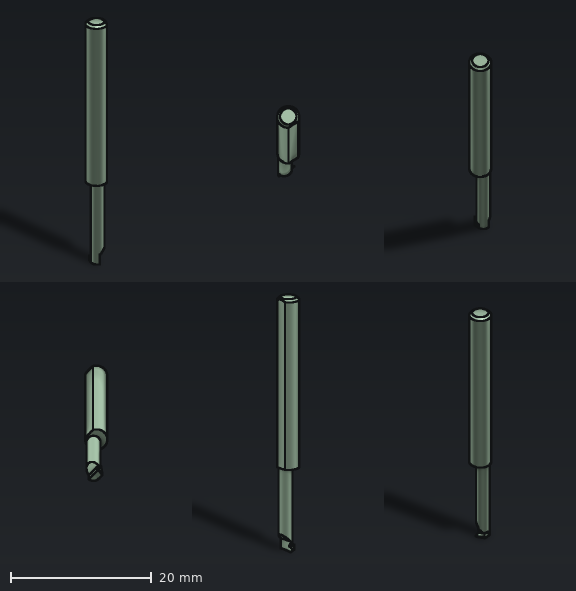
import cadquery as cq

total_length = 38.1
shank_diameter = 3.15
flat_offset = 1.353
shoulder_z = 12.7
chamfer_radial = 0.42
chamfer_height = 0.4

neck_diameter = 2.02
neck_end_z = 0.1
relief_root_z = 1.65

head_left_x = -0.2
head_right_x = 0.6
head_top_z = 0.88
tip_x = -1.03
tip_z = 0.45
tooth_root_x = -0.45
tooth_root_top_z = 0.8
notch_top_z = 1.35
rear_tip_projection = 0.05

shank_radius = shank_diameter / 2
neck_radius = neck_diameter / 2
neck_x = shank_radius - neck_radius
neck_left_x = neck_x - neck_radius


def make_shank():
    """Round shank with a chamfered top and one full-length flat."""
    profile = [
        (0, shoulder_z),
        (shank_radius, shoulder_z),
        (shank_radius, total_length - chamfer_height),
        (shank_radius - chamfer_radial, total_length),
        (0, total_length),
    ]
    shank = cq.Workplane("XZ").polyline(profile).close().revolve(360, (0, 0), (0, 1))
    flat_cutter = cq.Workplane("XY").box(
        shank_diameter, shank_diameter, total_length, centered=(True, False, False)
    )
    return shank.cut(flat_cutter.translate((0, flat_offset, 0)))


def make_neck():
    """Offset neck, halved at its lower end and notched above the tooth."""
    neck = (
        cq.Workplane("XY", origin=(neck_x, 0, neck_end_z))
        .circle(neck_radius)
        .extrude(shoulder_z - neck_end_z)
    )
    relief = (
        cq.Workplane("YZ", origin=(neck_x, 0, 0))
        .polyline([
            (0, 0),
            (0, relief_root_z),
            (neck_diameter, relief_root_z + neck_diameter),
            (neck_diameter, 0),
        ])
        .close()
        .extrude(neck_radius, both=True)
    )
    notch = (
        cq.Workplane("XZ")
        .polyline([
            (neck_left_x, notch_top_z),
            (head_left_x, head_top_z),
            (head_left_x, 0),
            (tip_x, 0),
            (tip_x, notch_top_z),
        ])
        .close()
        .extrude(neck_radius)
    )
    return neck.cut(relief).cut(notch)


def make_head():
    """Pointed tooth at the rake face, tapering to a rectangular rear face."""
    rake_outline = [
        (tip_x, tip_z),
        (tooth_root_x, 0),
        (head_right_x, neck_end_z),
        (head_right_x, head_top_z),
        (tooth_root_x, tooth_root_top_z),
    ]
    rear_outline = [
        (head_left_x - rear_tip_projection, tip_z),
        (head_left_x, neck_end_z),
        (head_right_x, neck_end_z),
        (head_right_x, head_top_z),
        (head_left_x, head_top_z),
    ]
    return (
        cq.Workplane("XZ")
        .polyline(rake_outline)
        .close()
        .workplane(offset=neck_radius)
        .polyline(rear_outline)
        .close()
        .loft(ruled=True)
    )


result = make_shank().union(make_neck()).union(make_head())